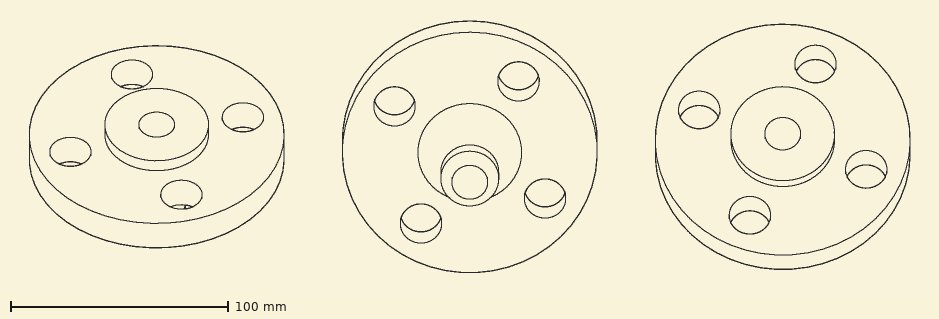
import cadquery as cq

total_height = 63.5
raised_face_height = 6.35
flange_thickness = 15.75
weld_bevel_height = 5.15
neck_height = 8.75

flange_diameter = 117.35
hub_diameter = 47.75
neck_diameter = 26.7
bore_diameter = 16.5

bolt_count = 4
bolt_circle_diameter = 82.55
bolt_hole_diameter = 19.05
first_bolt_angle = 45

neck_bottom = weld_bevel_height
neck_top = neck_bottom + neck_height
flange_top = total_height - raised_face_height
flange_bottom = flange_top - flange_thickness


def flange_body():
    """Bevelled neck, tapered hub, flange and raised face turned about Z around the bore."""
    bore_radius = bore_diameter / 2
    neck_radius = neck_diameter / 2
    hub_radius = hub_diameter / 2
    flange_radius = flange_diameter / 2
    half_section = [
        (bore_radius, 0),
        (neck_radius, neck_bottom),
        (neck_radius, neck_top),
        (hub_radius, flange_bottom),
        (flange_radius, flange_bottom),
        (flange_radius, flange_top),
        (hub_radius, flange_top),
        (hub_radius, total_height),
        (bore_radius, total_height),
    ]
    return cq.Workplane("XZ").polyline(half_section).close().revolve(360, (0, 0), (0, 1))


def bolt_holes():
    """Cylinders that cut the bolt holes through the flange."""
    return (
        cq.Workplane("XY", origin=(0, 0, flange_bottom))
        .polarArray(bolt_circle_diameter / 2, first_bolt_angle, 360, bolt_count)
        .circle(bolt_hole_diameter / 2)
        .extrude(flange_thickness)
    )


result = flange_body().cut(bolt_holes())